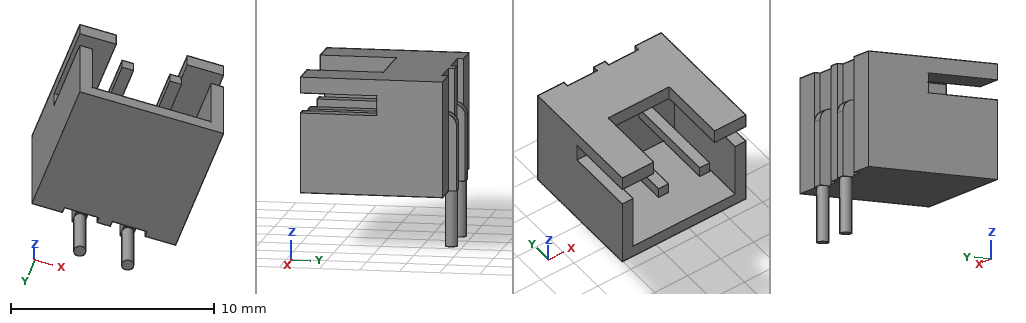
import cadquery as cq

width = 7.5
depth = 7.1
height = 5.8
overall_height = 8.7
side_wall = 0.65
floor_thickness = 0.705
roof_thickness = 0.8
cavity_depth = 5.07

opening_depth = 3.8
roof_notch_width = 3.7
side_slot_height = 1.0

pin_size = 0.6
pin_pitch = 2.5
pin_positions = (-pin_pitch / 2, pin_pitch / 2)
pin_top_inset = 2.03
pin_top = height - pin_top_inset
square_leg_drop = 0.1
tail_length = overall_height - height

groove_width = 1.8
groove_depth = pin_size / 2


def block(x_size, y_start, y_end, z_start, z_end, x_center=0):
    """Box centred on x_center that spans the given Y and Z ranges."""
    return (
        cq.Workplane("XY")
        .box(x_size, y_end - y_start, z_end - z_start, centered=(True, False, False))
        .translate((x_center, y_start, z_start))
    )


def make_housing():
    roof_underside = height - roof_thickness
    cavity = block(width - 2 * side_wall, 0, cavity_depth, floor_thickness, roof_underside)
    roof_notch = block(roof_notch_width, 0, opening_depth, roof_underside, height)
    side_slots = block(width, 0, opening_depth, roof_underside - side_slot_height, roof_underside)
    housing = block(width, 0, depth, 0, height)
    housing = housing.cut(cavity).cut(roof_notch).cut(side_slots)
    for x in pin_positions:
        housing = housing.cut(block(groove_width, depth - groove_depth, depth, 0, height, x))
    return housing


def make_pin(x):
    """Right-angle pin whose outer bend radius equals the pin size."""
    leg_back = depth + pin_size / 2
    leg_front = leg_back - pin_size
    bent_pin = (
        cq.Workplane("YZ", origin=(x - pin_size / 2, 0, 0))
        .moveTo(0, pin_top)
        .lineTo(leg_front, pin_top)
        .radiusArc((leg_back, pin_top - pin_size), pin_size)
        .lineTo(leg_back, -square_leg_drop)
        .lineTo(leg_front, -square_leg_drop)
        .lineTo(leg_front, pin_top - pin_size)
        .lineTo(0, pin_top - pin_size)
        .close()
        .extrude(pin_size)
    )
    tail = (
        cq.Workplane("XY", origin=(x, depth, -tail_length))
        .circle(pin_size / 2)
        .extrude(tail_length - square_leg_drop)
    )
    return bent_pin.union(tail)


result = make_housing()
for pin_x in pin_positions:
    result = result.union(make_pin(pin_x))